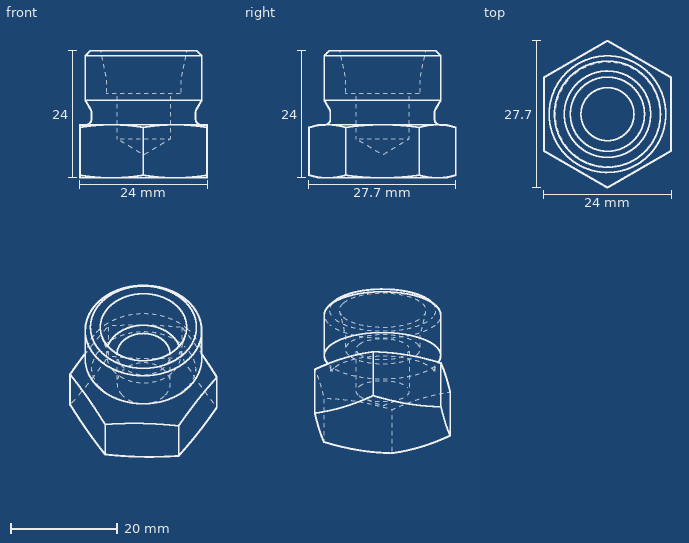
import cadquery as cq
import math

hex_corners = 27.7
hex_flats = hex_corners * math.cos(math.radians(30))
hex_height = 10.0
hex_chamfer_angle = 15.0

total_height = 24.0
stud_radius = 22.0 / 2
stud_length = 9.37
stud_chamfer = 1.0
groove_radius = 19.7 / 2
groove_fillet = 1.0
runout_angle = 30.0

mouth_radius = 16.3 / 2
socket_radius = 14.0 / 2
taper_half_angle = 12.0
socket_depth = 8.0
drill_radius = 10.0 / 2
drill_depth = 16.63
drill_tip_angle = 118.0


def make_hexagon():
    """Hexagon with both ends chamfered by a cone that starts at the flats' inscribed circle."""
    prism = (
        cq.Workplane("XY")
        .polygon(6, hex_corners)
        .extrude(hex_height)
        .rotate((0, 0, 0), (0, 0, 1), 90)
    )
    inner = hex_flats / 2
    outer = hex_corners / 2
    drop = (outer - inner) * math.tan(math.radians(hex_chamfer_angle))
    envelope = (
        cq.Workplane("XZ")
        .moveTo(0, 0)
        .lineTo(inner, 0)
        .lineTo(outer, drop)
        .lineTo(outer, hex_height - drop)
        .lineTo(inner, hex_height)
        .lineTo(0, hex_height)
        .close()
        .revolve(360, (0, 0, 0), (0, 1, 0))
    )
    return prism.intersect(envelope)


def make_stud():
    """Stud with a chamfered top, a runout cone and a groove with rounded corners."""
    stud_bottom = total_height - stud_length
    runout = math.radians(runout_angle)

    blend_center_radius = groove_radius + groove_fillet
    blend_end_radius = blend_center_radius - groove_fillet * math.cos(runout)
    blend_middle_radius = blend_center_radius - groove_fillet * math.cos(runout / 2)
    blend_end_z = stud_bottom - (stud_radius - blend_end_radius) / math.tan(runout)
    blend_start_z = blend_end_z - groove_fillet * math.sin(runout)
    blend_middle_z = blend_start_z + groove_fillet * math.sin(runout / 2)

    fillet_middle = groove_fillet * (1 - math.sqrt(0.5))
    return (
        cq.Workplane("XZ")
        .moveTo(0, 0)
        .lineTo(groove_radius + groove_fillet, 0)
        .lineTo(groove_radius + groove_fillet, hex_height)
        .threePointArc(
            (groove_radius + fillet_middle, hex_height + fillet_middle),
            (groove_radius, hex_height + groove_fillet),
        )
        .lineTo(groove_radius, blend_start_z)
        .threePointArc(
            (blend_middle_radius, blend_middle_z),
            (blend_end_radius, blend_end_z),
        )
        .lineTo(stud_radius, stud_bottom)
        .lineTo(stud_radius, total_height - stud_chamfer)
        .lineTo(stud_radius - stud_chamfer, total_height)
        .lineTo(0, total_height)
        .close()
        .revolve(360, (0, 0, 0), (0, 1, 0))
    )


def make_bore():
    """Tapered mouth, straight socket and a drilled hole with a conical end."""
    taper_depth = (mouth_radius - socket_radius) / math.tan(math.radians(taper_half_angle))
    tip_length = drill_radius / math.tan(math.radians(drill_tip_angle / 2))
    return (
        cq.Workplane("XZ")
        .moveTo(0, total_height)
        .lineTo(mouth_radius, total_height)
        .lineTo(socket_radius, total_height - taper_depth)
        .lineTo(socket_radius, total_height - socket_depth)
        .lineTo(drill_radius, total_height - socket_depth)
        .lineTo(drill_radius, total_height - drill_depth)
        .lineTo(0, total_height - drill_depth - tip_length)
        .close()
        .revolve(360, (0, 0, 0), (0, 1, 0))
    )


result = make_hexagon().union(make_stud()).cut(make_bore())